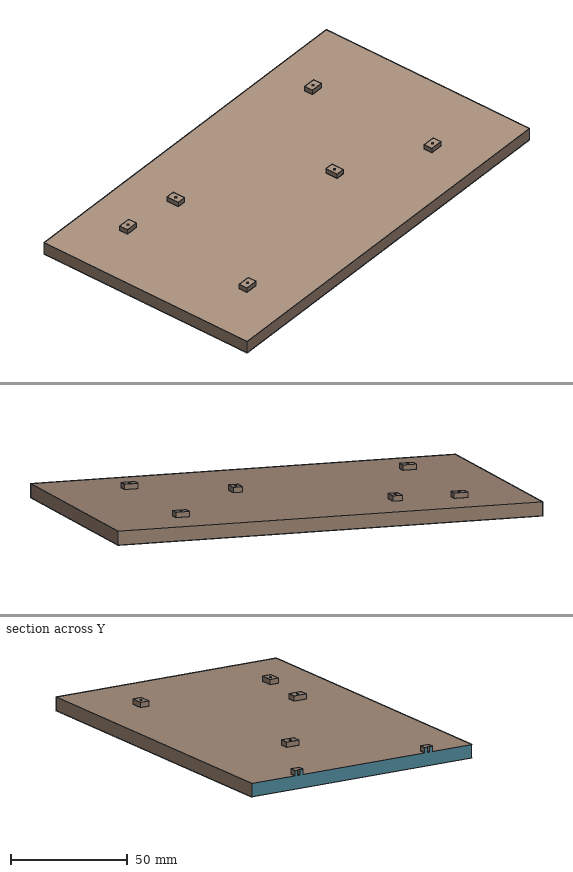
import cadquery as cq

plate_width = 111.5
plate_length = 193.0
overall_height = 8.5
plate_thickness = 6.2
block_height = overall_height - plate_thickness

block_long = 6.2
block_short = 4.2
hole_diameter = 1.0

left_x = -33.8
right_x = 31.8
front_y = -66.4
back_y = 60.0

inner_back_position = (10.6, 19.5)
inner_front_position = (-30.0, -38.6)


def drilled_block(position, size_x, size_y):
    """Block standing on the plate with a hole through its centre."""
    return (
        cq.Workplane("XY", origin=(*position, plate_thickness))
        .rect(size_x, size_y)
        .circle(hole_diameter / 2)
        .extrude(block_height)
    )


result = cq.Workplane("XY").box(
    plate_width, plate_length, plate_thickness, centered=(True, True, False)
)

for x in (left_x, right_x):
    for y in (front_y, back_y):
        result = result.union(drilled_block((x, y), block_short, block_long))

result = result.union(drilled_block(inner_back_position, block_long, block_short))
result = result.union(drilled_block(inner_front_position, block_long, block_short))